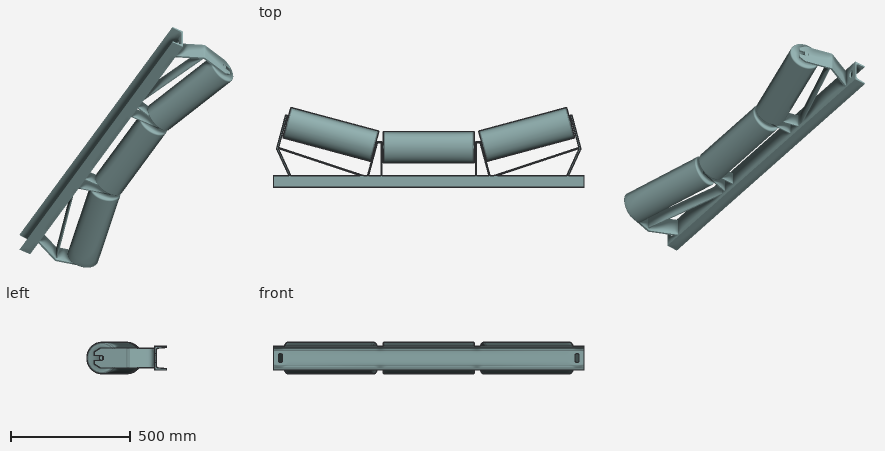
import cadquery as cq
import math

BEAM_LENGTH = 1300.0
BEAM_HEIGHT = 100.0
FLANGE_WIDTH = BEAM_HEIGHT / 2
WEB_THICKNESS = 6.0
FLANGE_MEAN_THICKNESS = 8.5
FLANGE_TAPER = 0.08
ROOT_RADIUS = 8.5
TOE_RADIUS = 4.4
BOLT_SLOT_WIDTH = 18.0
BOLT_SLOT_HEIGHT = 38.0
BOLT_SLOT_INSET = 30.0

ROLLER_DIAMETER = 133.0
ROLLER_LENGTH = 382.0
ROLLER_EDGE_RADIUS = 5.0
TROUGH_ANGLE = 15.0
MIDDLE_ROLLER_Y = 118.0
SIDE_ROLLER_X = 410.0
SIDE_ROLLER_Y = 172.0

SHAFT_DIAMETER = 21.0
SHAFT_FLAT_THICKNESS = 14.0
MIDDLE_SHAFT_END = 200.0
SIDE_SHAFT_INNER_END = 198.0
SIDE_SHAFT_OUTER_END = 204.0

PLATE_THICKNESS = 8.0
PLATE_WIDTH = 83.0
OUTER_LEG_LENGTH = 147.0
OUTER_FOOT_X = 585.0
OUTER_BEND_Y = 112.0
OUTER_BEND_RADIUS = 12.0
OUTER_TIP_WIDTH = 51.0
OUTER_TIP_LENGTH = 26.0

STRIP_THICKNESS = 5.0
STRIP_WIDTH = 60.0
INNER_TOP_Y = 142.0
INNER_BEND_RADIUS = 5.0
BRACE_FOOT_X = 289.0
BRACE_ANGLE = 18.3

OVERRUN = 26.0
TRIM_SIZE = 2 * BEAM_LENGTH

SIN_T = math.sin(math.radians(TROUGH_ANGLE))
COS_T = math.cos(math.radians(TROUGH_ANGLE))


def side_frame(shape):
    """Carry a shape from the X axis to the axis of the left roller."""
    return shape.rotate((0, 0, 0), (0, 0, 1), -TROUGH_ANGLE).translate((-SIDE_ROLLER_X, SIDE_ROLLER_Y, 0))


def middle_frame(shape):
    """Carry a shape from the X axis to the axis of the middle roller."""
    return shape.translate((0, MIDDLE_ROLLER_Y, 0))


def side_line_x(along, y):
    """X where a line square to the left roller's axis, at a distance along it, reaches the given Y."""
    foot_x = -SIDE_ROLLER_X + along * COS_T
    foot_y = SIDE_ROLLER_Y - along * SIN_T
    return foot_x + (y - foot_y) * SIN_T / COS_T


def mirrored(shape):
    """Copy of a left-end shape for the right end."""
    return shape.mirror("YZ")


def above_beam(shape):
    """Trim a shape flush with the back of the web."""
    space = cq.Workplane().box(TRIM_SIZE, TRIM_SIZE, TRIM_SIZE).translate((0, TRIM_SIZE / 2, 0))
    return shape.intersect(space)


def edge_near(shape, x, y, z=0):
    """The edge whose middle is nearest to the given point."""
    return shape.edges(cq.selectors.NearestToPointSelector((x, y, z)))


def offset_path(points, distance):
    """Shift an open path to its left, keeping its corners mitred."""
    normals = []
    for (x0, y0), (x1, y1) in zip(points, points[1:]):
        run = math.hypot(x1 - x0, y1 - y0)
        normals.append(((y0 - y1) / run, (x1 - x0) / run))
    shifted = []
    for (x, y), before, after in zip(points, normals[:1] + normals, normals + normals[-1:]):
        reach = distance / (1 + before[0] * after[0] + before[1] * after[1])
        shifted.append((x + reach * (before[0] + after[0]), y + reach * (before[1] + after[1])))
    return shifted


def bent_plate(path, thickness, width):
    """Plate with one face on the path and its thickness to the path's left."""
    outline = path + offset_path(path, thickness)[::-1]
    return cq.Workplane("XY", origin=(0, 0, -width / 2)).polyline(outline).close().extrude(width)


def make_beam():
    """Channel with tapered flanges, rounded roots and toes, and a bolt slot near each end of its web."""
    half_height = BEAM_HEIGHT / 2
    taper_middle = FLANGE_WIDTH / 2
    toe_z = half_height - FLANGE_MEAN_THICKNESS + FLANGE_TAPER * taper_middle
    root_z = half_height - FLANGE_MEAN_THICKNESS - FLANGE_TAPER * (taper_middle - WEB_THICKNESS)
    section = [
        (0, -half_height),
        (-FLANGE_WIDTH, -half_height),
        (-FLANGE_WIDTH, -toe_z),
        (-WEB_THICKNESS, -root_z),
        (-WEB_THICKNESS, root_z),
        (-FLANGE_WIDTH, toe_z),
        (-FLANGE_WIDTH, half_height),
        (0, half_height),
    ]
    left_end = cq.Workplane("YZ", origin=(-BEAM_LENGTH / 2, 0, 0))
    beam = left_end.polyline(section).close().extrude(BEAM_LENGTH)
    for y, z, radius in ((-WEB_THICKNESS, root_z, ROOT_RADIUS), (-FLANGE_WIDTH, toe_z, TOE_RADIUS)):
        for side in (-1, 1):
            beam = edge_near(beam, 0, y, side * z).fillet(radius)
    slot_x = BEAM_LENGTH / 2 - BOLT_SLOT_INSET
    slots = (
        cq.Workplane("XZ")
        .pushPoints([(-slot_x, 0), (slot_x, 0)])
        .slot2D(BOLT_SLOT_HEIGHT, BOLT_SLOT_WIDTH, 90)
        .extrude(WEB_THICKNESS)
    )
    return beam.cut(slots)


def make_roller(left_end, right_end):
    """Roller on the X axis with its shaft reaching the two given distances from mid-length."""
    roller = (
        cq.Workplane("YZ", origin=(-ROLLER_LENGTH / 2, 0, 0))
        .circle(ROLLER_DIAMETER / 2)
        .extrude(ROLLER_LENGTH)
        .edges()
        .fillet(ROLLER_EDGE_RADIUS)
    )
    start = cq.Workplane("YZ", origin=(-left_end, 0, 0))
    shaft = start.circle(SHAFT_DIAMETER / 2).extrude(left_end + right_end)
    flats = cq.Workplane().box(TRIM_SIZE, SHAFT_FLAT_THICKNESS, SHAFT_DIAMETER)
    return roller.union(shaft.intersect(flats))


def shaft_slot(left_end, right_end):
    """Round-bottomed slot, open to +Y, for a shaft on the X axis."""
    length = left_end + right_end
    start = cq.Workplane("YZ", origin=(-left_end, 0, 0))
    seat = start.circle(SHAFT_DIAMETER / 2).extrude(length)
    mouth = start.center(ROLLER_DIAMETER / 2, 0).rect(ROLLER_DIAMETER, SHAFT_DIAMETER).extrude(length)
    return seat.union(mouth)


def make_outer_bracket():
    """Bent plate at the left end, its upper leg square to the roller and slotted for the shaft."""
    bend_x = side_line_x(-SIDE_SHAFT_OUTER_END, OUTER_BEND_Y)
    tip = (bend_x + OUTER_LEG_LENGTH * SIN_T, OUTER_BEND_Y + OUTER_LEG_LENGTH * COS_T)
    past_foot = (-2 * OUTER_FOOT_X - bend_x, -OUTER_BEND_Y)
    path = [tip, (bend_x, OUTER_BEND_Y), past_foot]
    bracket = above_beam(bent_plate(path, PLATE_THICKNESS, PLATE_WIDTH))

    inner_radius = OUTER_BEND_RADIUS - PLATE_THICKNESS
    bracket = edge_near(bracket, bend_x + PLATE_THICKNESS, OUTER_BEND_Y).fillet(inner_radius)
    bracket = edge_near(bracket, bend_x, OUTER_BEND_Y).fillet(OUTER_BEND_RADIUS)

    bracket = bracket.cut(side_frame(tip_corners(tip[1])))
    return bracket.cut(side_frame(shaft_slot(SIDE_SHAFT_OUTER_END, 0)))


def tip_corners(tip_y):
    """The two corners cut off the outer bracket's tip, placed for a roller on the X axis."""
    tip_across = (tip_y - SIDE_ROLLER_Y - SIDE_SHAFT_OUTER_END * SIN_T) / COS_T
    start = cq.Workplane("YZ", origin=(-SIDE_SHAFT_OUTER_END - OVERRUN, 0, 0))
    corner = start.polyline(
        [
            (tip_across, PLATE_WIDTH / 2),
            (tip_across - OUTER_TIP_LENGTH, PLATE_WIDTH / 2),
            (tip_across, OUTER_TIP_WIDTH / 2),
        ]
    ).close().extrude(PLATE_THICKNESS + 2 * OVERRUN)
    return corner.union(corner.mirror("XY"))


def make_inner_bracket():
    """Folded strip between the left and middle rollers, one leg square to each."""
    inside_middle = -MIDDLE_SHAFT_END + STRIP_THICKNESS
    inside_side = SIDE_SHAFT_INNER_END - STRIP_THICKNESS
    path = [
        (inside_middle, 0),
        (inside_middle, INNER_TOP_Y),
        (side_line_x(inside_side, INNER_TOP_Y), INNER_TOP_Y),
        (side_line_x(inside_side, -OVERRUN), -OVERRUN),
    ]
    bracket = above_beam(bent_plate(path, STRIP_THICKNESS, STRIP_WIDTH))
    bracket = bracket.edges("|Z and >Y").fillet(INNER_BEND_RADIUS)
    bracket = bracket.cut(middle_frame(shaft_slot(MIDDLE_SHAFT_END, 0)))
    return bracket.cut(side_frame(shaft_slot(0, SIDE_SHAFT_INNER_END)))


def make_brace(bracket):
    """Flat bar from the back of the web to the bend of the outer bracket, trimmed to both."""
    length = BEAM_LENGTH / 2
    bar = (
        cq.Workplane()
        .box(length, STRIP_THICKNESS, STRIP_WIDTH)
        .translate((OVERRUN - length / 2, STRIP_THICKNESS / 2, 0))
        .rotate((0, 0, 0), (0, 0, 1), -BRACE_ANGLE)
        .translate((-BRACE_FOOT_X, 0, 0))
    )
    return above_beam(bar).cut(bracket).solids(">X")


beam = make_beam()
middle_roller = middle_frame(make_roller(MIDDLE_SHAFT_END, MIDDLE_SHAFT_END))
left_roller = side_frame(make_roller(SIDE_SHAFT_OUTER_END, SIDE_SHAFT_INNER_END))
outer_bracket = make_outer_bracket()
inner_bracket = make_inner_bracket()
brace = make_brace(outer_bracket)

bodies = [beam.solids().val(), middle_roller.solids().val()]
for left_body in (left_roller, outer_bracket, inner_bracket, brace):
    bodies += [left_body.solids().val(), mirrored(left_body).solids().val()]
result = cq.Compound.makeCompound(bodies)